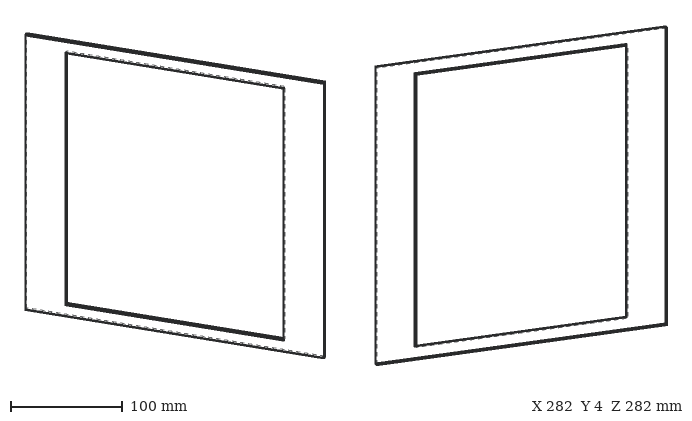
import cadquery as cq

side = 282.0
thickness = 4.0

side_rail_width = 38.0
end_rail_width = 11.5
window_width = side - 2 * side_rail_width
window_height = side - 2 * end_rail_width

plate = cq.Workplane("XY").box(side, thickness, side)
window = cq.Workplane("XY").box(window_width, thickness, window_height)

result = plate.cut(window)